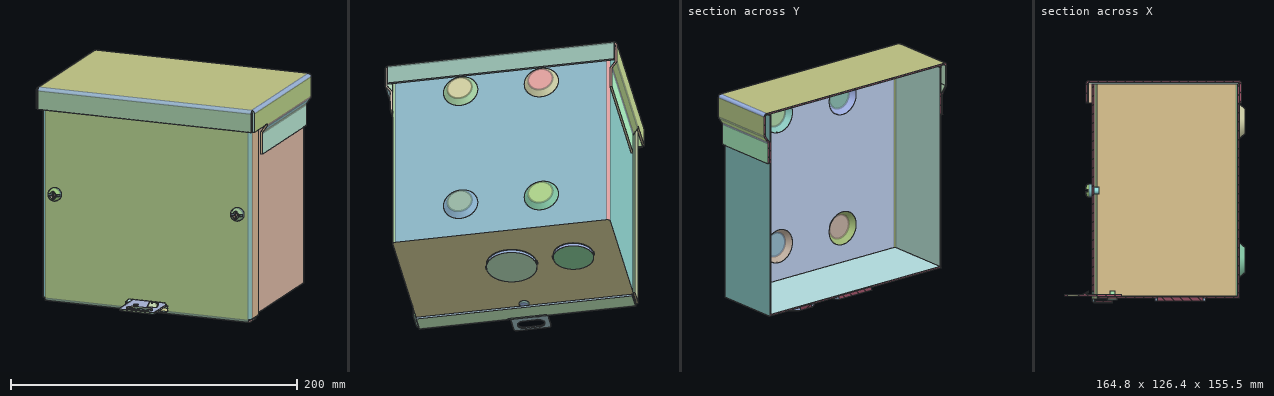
import cadquery as cq

WIDTH = 164.8
DEPTH = 126.4
HEIGHT = 155.5
SHEET = 1.5
BEND = 2.3
INNER_BEND = BEND - SHEET

CAP_WIDTH = WIDTH
CAP_TOP = HEIGHT / 2
CAP_LIP_BOTTOM = 62.0
CAP_FRONT = -48.1
CAP_BACK = 60.7
CAP_CORNER_NOTCH = 1.8
CAP_UNDERSIDE = CAP_TOP - SHEET

BOX_BACK = CAP_BACK - SHEET
BOX_FRONT = -40.2
BOX_BOTTOM = -74.3
BOX_TOP = CAP_UNDERSIDE - INNER_BEND

DOOR_WIDTH = 157.5
DOOR_FRONT = -43.8
DOOR_BACK = -29.7
DOOR_TOP = BOX_TOP
DOOR_BOTTOM = -CAP_TOP
DOOR_NOTCH_X = 2.0
DOOR_NOTCH_Z = 2.6
BOX_WIDTH = DOOR_WIDTH - 2 * SHEET

FLAP_FRONT = -22.7
FLAP_BOTTOM = 39.7
FLAP_SLOPE_TOP = 60.5
FLAP_SLOPE_BOTTOM = 55.4
FLAP_INNER_RISE = 0.3

FOOT_BASE_RADIUS = 12.2
FOOT_TOP_RADIUS = 8.7
FOOT_EDGE_RADIUS = 0.8
FOOT_HEIGHT = DEPTH / 2 - BOX_BACK
FOOT_SPACING_X = 57.4
FOOT_SPACING_Z = 96.9
MID_HEIGHT = 0.8

KNOCKOUT_BOTTOM = -76.5
KNOCKOUT_THICKNESS = 2.6
LARGE_KNOCKOUT_DIAMETER = 35.5
LARGE_KNOCKOUT_X = 0.0
SMALL_KNOCKOUT_DIAMETER = 28.3
SMALL_KNOCKOUT_X = -44.5
KNOCKOUT_BACK = 35.6
TIE_WIDTH = 3.0
TIE_HEIGHT = 0.8
TIE_REACH = 0.7

SCREW_X = 68.9
SCREW_HEAD_DIAMETER = 9.4
SCREW_HEIGHT = 4.5
SCREW_EDGE_RADIUS = 2.5
SCREW_SHANK_DIAMETER = 5.0
SCREW_SHANK_LENGTH = 5.0
DRIVE_SLOT_WIDTH = 1.3
DRIVE_SLOT_DEPTH = 1.6
CROSS_ARM_LENGTH = 5.6
CROSS_ARM_DEPTH = 2.6
CROSS_CORE_WIDTH = 7.0
CROSS_CORE_DEPTH = 2.3
CROSS_CORE_TAPER = 40.0

HASP_SHEET = 1.2
HASP_WIDTH = 26.5
HASP_BACK = -23.0
HASP_TIP = -DEPTH / 2
HASP_BOTTOM = BOX_BOTTOM + SHEET
HASP_TOP = HASP_BOTTOM + HASP_SHEET
HASP_CORNER_RADIUS = 2.1
HASP_SLOT_LENGTH = 19.3
HASP_SLOT_WIDTH = 8.5
HASP_SLOT_Y = -57.0
HASP_HOLE_X = -6.5
HASP_HOLE_Y = -47.8
HASP_HOLE_DIAMETER = 3.3
TONGUE_X = 6.5
TONGUE_WIDTH = 7.0
TONGUE_ROOT = -50.3
TONGUE_TIP = -46.1
TONGUE_RISE = 2.3
TONGUE_THICKNESS = 1.0

RIVET_Y = -29.7
RIVET_HEAD_DIAMETER = 7.1
RIVET_HEAD_HEIGHT = 1.3
RIVET_HEAD_ROUNDING = 0.7
RIVET_SHANK_DIAMETER = 3.5
RIVET_SHANK_TOP = -69.2

OPENING_WIDTH = 31.6
OPENING_TOP = -69.5
OPENING_BOTTOM = -77.1
OPENING_CHAMFER = 2.1


def block(x0, x1, y0, y1, z0, z1):
    """Rectangular block between two opposite corners."""
    return cq.Workplane("XY").box(x1 - x0, y1 - y0, z1 - z0, centered=False).translate((x0, y0, z0))


def make_cap_flap():
    """Left flap: a slope inwards below the side lip, then a flat strip on the box side."""
    lip_outer = -CAP_WIDTH / 2
    strip_outer = -BOX_WIDTH / 2 - SHEET
    flap = (
        cq.Workplane("XZ", origin=(0, FLAP_FRONT, 0))
        .moveTo(lip_outer, CAP_LIP_BOTTOM)
        .lineTo(lip_outer, FLAP_SLOPE_TOP)
        .lineTo(strip_outer, FLAP_SLOPE_BOTTOM)
        .lineTo(strip_outer, FLAP_BOTTOM)
        .lineTo(strip_outer + SHEET, FLAP_BOTTOM)
        .lineTo(strip_outer + SHEET, FLAP_SLOPE_BOTTOM + FLAP_INNER_RISE)
        .lineTo(lip_outer + SHEET, FLAP_SLOPE_TOP + FLAP_INNER_RISE)
        .lineTo(lip_outer + SHEET, CAP_LIP_BOTTOM)
        .close()
        .extrude(FLAP_FRONT - BOX_BACK + CAP_CORNER_NOTCH - SHEET)
    )
    middle = (FLAP_FRONT + BOX_BACK) / 2
    for x, z in ((lip_outer, FLAP_SLOPE_TOP), (strip_outer, FLAP_SLOPE_BOTTOM)):
        flap = flap.edges(cq.selectors.NearestToPointSelector((x, middle, z))).fillet(BEND)
    return flap


def make_cap():
    half = CAP_WIDTH / 2
    cap = block(-half, half, CAP_FRONT, CAP_BACK, CAP_LIP_BOTTOM, CAP_TOP)
    cap = cap.faces(">Z").edges().fillet(BEND)
    hollow = block(
        -half + SHEET, half - SHEET, CAP_FRONT + SHEET, CAP_BACK - SHEET, CAP_LIP_BOTTOM, CAP_UNDERSIDE
    )
    cap = cap.cut(hollow.faces(">Z").edges().fillet(INNER_BEND))
    for x in (-half, half):
        for y in (CAP_FRONT, CAP_BACK):
            notch = cq.Workplane("XY").box(2 * CAP_CORNER_NOTCH, 2 * CAP_CORNER_NOTCH, 4 * CAP_TOP)
            cap = cap.cut(notch.translate((x, y, 0)))
    flap = make_cap_flap()
    return cap.union(flap).union(flap.mirror("YZ"))


def foot_cone(x, y, z):
    """Truncated cone that stands on a point and points towards +Y."""
    return (
        cq.Workplane("XY")
        .lineTo(FOOT_BASE_RADIUS, 0)
        .lineTo(FOOT_TOP_RADIUS, FOOT_HEIGHT)
        .lineTo(0, FOOT_HEIGHT)
        .close()
        .revolve(360, (0, 0, 0), (0, 1, 0))
        .faces(">Y")
        .edges()
        .fillet(FOOT_EDGE_RADIUS)
        .translate((x, y, z))
    )


def make_knockout(diameter, x):
    """Disc seated in the box bottom, with a tie below the sheet on its left and right."""
    y = KNOCKOUT_BACK - diameter / 2
    reach = diameter / 2 + TIE_REACH
    disc = cq.Workplane("XY", origin=(x, y, KNOCKOUT_BOTTOM)).circle(diameter / 2)
    ties = block(
        x - reach, x + reach, y - TIE_WIDTH / 2, y + TIE_WIDTH / 2, BOX_BOTTOM - TIE_HEIGHT, BOX_BOTTOM
    )
    return disc.extrude(KNOCKOUT_THICKNESS).union(ties)


def make_box(inserts):
    half = BOX_WIDTH / 2
    box = block(-half, half, BOX_FRONT, BOX_BACK, BOX_BOTTOM, BOX_TOP)
    box = box.edges("|Z and >Y").fillet(BEND)
    hollow = block(
        -half + SHEET, half - SHEET, BOX_FRONT, BOX_BACK - SHEET, BOX_BOTTOM + SHEET, BOX_TOP
    )
    box = box.cut(hollow.edges("|Z and >Y").fillet(INNER_BEND))
    for x in (-FOOT_SPACING_X / 2, FOOT_SPACING_X / 2):
        for z in (MID_HEIGHT - FOOT_SPACING_Z / 2, MID_HEIGHT + FOOT_SPACING_Z / 2):
            box = box.union(foot_cone(x, BOX_BACK, z))
            box = box.cut(foot_cone(x, BOX_BACK - SHEET, z))
    for insert in inserts:
        box = box.cut(insert)
    return box


def make_screw(x):
    """Pan-head screw with a slot across it and a tapered cross recess."""
    seat = cq.Workplane("XZ", origin=(x, DOOR_FRONT, MID_HEIGHT))
    top = cq.Workplane("XZ", origin=(x, DOOR_FRONT - SCREW_HEIGHT, MID_HEIGHT))
    head = seat.circle(SCREW_HEAD_DIAMETER / 2).extrude(SCREW_HEIGHT)
    head = head.faces("<Y").edges().fillet(SCREW_EDGE_RADIUS)
    shank = seat.circle(SCREW_SHANK_DIAMETER / 2).extrude(-SCREW_SHANK_LENGTH)
    slot = top.rect(SCREW_HEAD_DIAMETER, DRIVE_SLOT_WIDTH).extrude(-DRIVE_SLOT_DEPTH)
    cross_arm = top.rect(DRIVE_SLOT_WIDTH, CROSS_ARM_LENGTH).extrude(-CROSS_ARM_DEPTH)
    cross_core = top.polygon(4, CROSS_CORE_WIDTH).extrude(-CROSS_CORE_DEPTH, taper=CROSS_CORE_TAPER)
    return head.union(shank).cut(slot).cut(cross_arm).cut(cross_core)


def make_door(screws):
    half = DOOR_WIDTH / 2
    door = block(-half, half, DOOR_FRONT, DOOR_BACK, DOOR_BOTTOM, DOOR_TOP)
    door = door.edges("(<Y and |Z) or (<Y and <Z)").fillet(BEND)
    hollow = block(
        -half + SHEET, half - SHEET, DOOR_FRONT + SHEET, DOOR_BACK, DOOR_BOTTOM + SHEET, DOOR_TOP
    )
    door = door.cut(hollow.edges("(<Y and |Z) or (<Y and <Z)").fillet(INNER_BEND))
    for x in (-half, half):
        notch = cq.Workplane("XY").box(2 * DOOR_NOTCH_X, 4 * BOX_BACK, 2 * DOOR_NOTCH_Z)
        door = door.cut(notch.translate((x, 0, DOOR_BOTTOM)))
    opening = block(
        -OPENING_WIDTH / 2, OPENING_WIDTH / 2, DOOR_FRONT, DOOR_FRONT + BEND, OPENING_BOTTOM, OPENING_TOP
    )
    door = door.cut(opening.edges("|Y").chamfer(OPENING_CHAMFER))
    for screw in screws:
        door = door.cut(screw)
    return door


def make_rivet():
    """Rivet with its rounded head below the box bottom."""
    head = cq.Workplane("XY", origin=(0, RIVET_Y, BOX_BOTTOM))
    shank = head.circle(RIVET_SHANK_DIAMETER / 2).extrude(RIVET_SHANK_TOP - BOX_BOTTOM)
    head = head.circle(RIVET_HEAD_DIAMETER / 2).extrude(-RIVET_HEAD_HEIGHT)
    return head.faces("<Z").edges().fillet(RIVET_HEAD_ROUNDING).union(shank)


def make_hasp(rivet):
    """Plate with a padlock slot, a small hole and a raised tongue."""
    half = HASP_WIDTH / 2
    plate = block(-half, half, HASP_TIP, HASP_BACK, HASP_BOTTOM, HASP_TOP)
    plate = plate.edges("|Z and <Y").fillet(HASP_CORNER_RADIUS)
    above = cq.Workplane("XY", origin=(0, 0, HASP_TOP))
    slot = above.center(0, HASP_SLOT_Y).slot2D(HASP_SLOT_LENGTH, HASP_SLOT_WIDTH).extrude(-HASP_SHEET)
    hole = above.center(HASP_HOLE_X, HASP_HOLE_Y).circle(HASP_HOLE_DIAMETER / 2).extrude(-HASP_SHEET)
    tongue = (
        cq.Workplane("YZ", origin=(TONGUE_X - TONGUE_WIDTH / 2, 0, 0))
        .moveTo(TONGUE_ROOT, HASP_TOP)
        .lineTo(TONGUE_TIP, HASP_TOP + TONGUE_RISE)
        .lineTo(TONGUE_TIP, HASP_TOP + TONGUE_RISE - TONGUE_THICKNESS)
        .lineTo(TONGUE_ROOT + 2 * TONGUE_THICKNESS, HASP_TOP)
        .close()
        .extrude(TONGUE_WIDTH)
    )
    return plate.cut(slot).cut(hole).cut(rivet).union(tongue)


large_knockout = make_knockout(LARGE_KNOCKOUT_DIAMETER, LARGE_KNOCKOUT_X)
small_knockout = make_knockout(SMALL_KNOCKOUT_DIAMETER, SMALL_KNOCKOUT_X)
screws = [make_screw(x) for x in (-SCREW_X, SCREW_X)]
rivet = make_rivet()
cap = make_cap()
box = make_box([large_knockout, small_knockout, rivet])
door = make_door(screws)
hasp = make_hasp(rivet)

bodies = [cap, box, door, hasp, rivet, *screws, large_knockout, small_knockout]
result = cq.Compound.makeCompound([body.solids().val() for body in bodies])